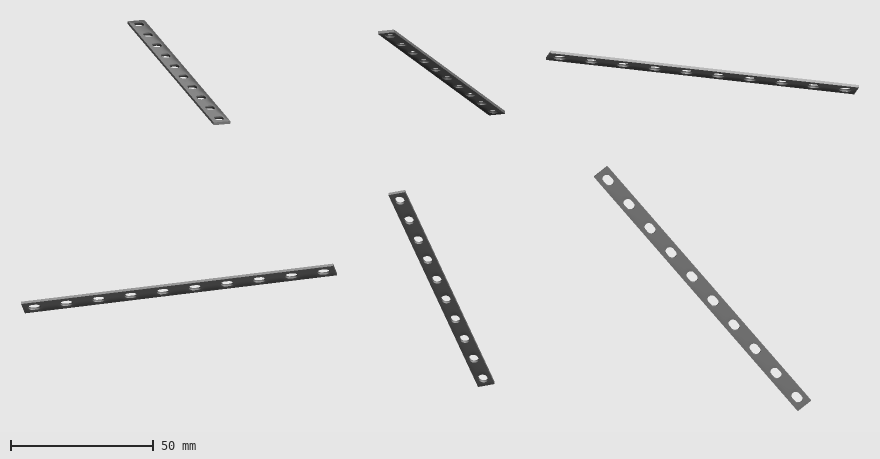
import cadquery as cq

length = 112.0
width = 6.0
thickness = 1.0

slot_count = 10
slot_pitch = 11.5
slot_length = 4.4
slot_width = 3.1


def make_strip():
    return cq.Workplane("XY").box(length, width, thickness)


def cut_slots(strip):
    return (
        strip.faces(">Z")
        .workplane()
        .rarray(slot_pitch, 1.1, slot_count, 1)
        .slot2D(slot_length, slot_width)
        .cutThruAll()
    )


result = cut_slots(make_strip())